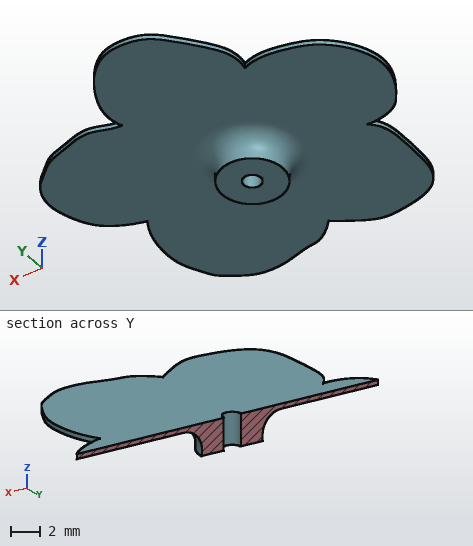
import cadquery as cq

plate_thickness = 0.4
total_height = 2.4
boss_diameter = 5.0
bore_diameter = 1.4
boss_rim_height = 0.5

boss_radius = boss_diameter / 2
plate_bottom = total_height - plate_thickness
flare_radius = plate_bottom - boss_rim_height

petals = [
    [
        (9.77, -1.52), (11.55, -0.83), (12.75, 0.05), (13.80, 1.94), (14.11, 3.20), (14.10, 4.15),
        (13.30, 5.93), (12.48, 6.64), (11.72, 7.32), (10.75, 7.82), (9.65, 8.17),
        (8.70, 8.45), (7.30, 8.55), (6.30, 8.22),
    ],
    [
        (5.12, 7.97), (5.36, 9.27), (4.70, 11.61), (3.38, 13.57), (1.58, 14.88), (0.10, 15.09),
        (-1.55, 14.72), (-3.27, 13.10), (-4.59, 11.35), (-5.20, 10.20), (-5.38, 9.20),
    ],
    [
        (-5.27, 8.27), (-6.70, 8.57), (-8.62, 8.33), (-10.50, 7.64), (-11.95, 6.35),
        (-12.88, 4.69), (-13.13, 3.20), (-12.87, 1.83), (-11.90, 0.00), (-11.23, -0.80), (-10.00, -1.41),
    ],
    [
        (-8.42, -1.52), (-9.15, -2.55), (-9.36, -4.16), (-9.30, -6.50), (-9.16, -7.69), (-8.34, -9.24),
        (-6.80, -10.06), (-5.07, -10.39), (-3.30, -10.37), (-2.51, -10.07),
    ],
    [
        (-0.20, -8.57), (1.01, -9.63), (1.76, -9.97), (2.51, -10.07), (4.23, -10.48), (5.80, -10.66),
        (7.07, -10.48), (8.63, -9.62), (9.45, -8.95), (9.87, -8.28), (10.62, -6.62), (10.78, -4.79),
        (10.46, -2.99),
    ],
]


def flower_plate():
    """Flat flower with five freeform petals meeting at sharp notches."""
    outline = cq.Workplane("XY", origin=(0, 0, plate_bottom)).moveTo(*petals[0][0])
    next_petals = petals[1:] + petals[:1]
    for petal, next_petal in zip(petals, next_petals):
        outline = outline.spline(petal[1:] + [next_petal[0]], includeCurrent=True)
    return outline.close().extrude(plate_thickness)


def flared_boss():
    """Round boss with a straight rim, flaring out to run tangent into the plate."""
    flare_outer_radius = boss_radius + flare_radius
    profile = (
        cq.Workplane("XZ")
        .lineTo(boss_radius, 0)
        .lineTo(boss_radius, boss_rim_height)
        .radiusArc((flare_outer_radius, plate_bottom), flare_radius)
        .lineTo(flare_outer_radius, total_height)
        .lineTo(0, total_height)
        .close()
    )
    return profile.revolve(360, (0, 0, 0), (0, 1, 0))


def bore():
    """Cylinder for the hole through the boss and the plate."""
    return cq.Workplane("XY").circle(bore_diameter / 2).extrude(total_height)


result = flower_plate().union(flared_boss()).cut(bore())